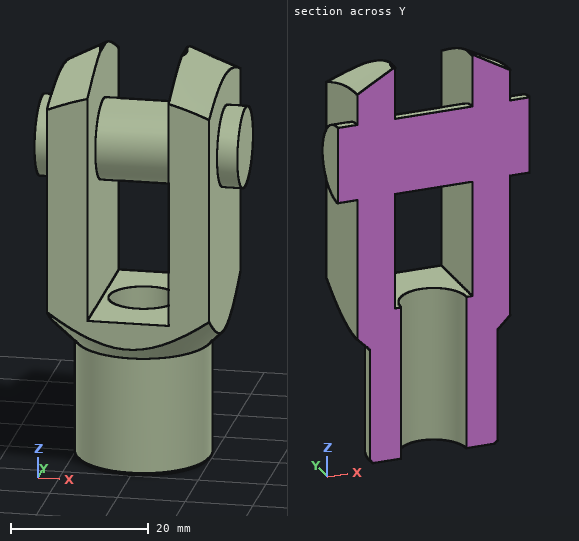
import cadquery as cq
import math

total_height = 62.0
fork_width = 24.0
corner_radius = fork_width / math.sqrt(2)

shank_diameter = 20.0
shank_radius = shank_diameter / 2
shank_length = 18.0
shank_chamfer = 0.5
bore_diameter = 10.2

top_flat_radius = 6.4
top_slope = math.radians(30)
shoulder_slope = math.radians(45)
profile_radius = corner_radius + 0.6

slot_width = fork_width / 2
slot_floor = 24.0
pin_diameter = fork_width / 2
pin_length = 30.0
pin_height = 48.0


def turned_envelope():
    """Solid of revolution that bounds the shank, the shoulder and the tip."""
    shoulder_top = shank_length + (profile_radius - shank_radius) * math.tan(shoulder_slope)
    tip_bottom = total_height - (profile_radius - top_flat_radius) * math.tan(top_slope)
    return (
        cq.Workplane("XZ")
        .moveTo(0, 0)
        .lineTo(shank_radius - shank_chamfer, 0)
        .lineTo(shank_radius, shank_chamfer)
        .lineTo(shank_radius, shank_length)
        .lineTo(profile_radius, shoulder_top)
        .lineTo(profile_radius, tip_bottom)
        .lineTo(top_flat_radius, total_height)
        .lineTo(0, total_height)
        .close()
        .revolve(360, (0, 0, 0), (0, 1, 0))
    )


def fork_body():
    """Square bar trimmed by the turned envelope, then slotted and bored."""
    bar = cq.Workplane("XY").box(fork_width, fork_width, total_height, centered=(True, True, False))
    slot = (
        cq.Workplane("XY")
        .workplane(offset=slot_floor)
        .rect(slot_width, fork_width)
        .extrude(total_height - slot_floor)
    )
    bore = cq.Workplane("XY").circle(bore_diameter / 2).extrude(slot_floor)
    return bar.intersect(turned_envelope()).cut(slot).cut(bore)


def cross_pin():
    """Plain pin through both fork arms, projecting equally on each side."""
    return (
        cq.Workplane("YZ")
        .center(0, pin_height)
        .circle(pin_diameter / 2)
        .extrude(pin_length / 2, both=True)
    )


result = fork_body().union(cross_pin())